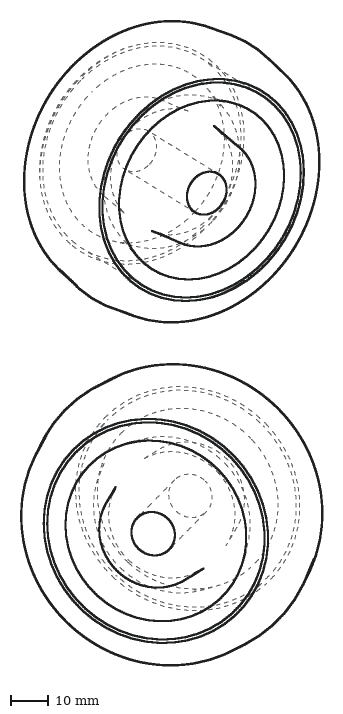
import cadquery as cq


tire_seat_radius = 30.0
rim_half_width = 17.0

crown_radius = 40.0
shoulder_x = 12.0
shoulder_radius = 38.6
flank_foot_x = 14.1
flank_foot_radius = 32.4
tire_edge_radius = 31.0
tire_fillet = 1.7

hub_half_width = 20.0
hub_end_radius = 15.0
hub_root_radius = 16.5
hub_edge_fillet = 1.0
bore_radius = 6.0
web_half_thickness = 3.0
pocket_mouth_radius = 25.0
pocket_root_radius = 22.5
pocket_fillet = 1.2


def revolve_mirrored(half_outline):
    """Revolve an (x, radius) outline, completed by its mirror image, about the X axis."""
    mirror_half = [(-x, radius) for x, radius in reversed(half_outline) if x > 0]
    outline = half_outline + mirror_half
    return cq.Workplane("XY").polyline(outline).close().revolve(360, (0, 0, 0), (1, 0, 0))


def fillet_rings(body, corners, fillet_radius):
    """Round the circular edges at the given (x, radius) corners on both sides of the body."""
    tolerance = 0.01
    rings = [
        edge
        for edge in body.edges("%CIRCLE").vals()
        for x, radius in corners
        if abs(abs(edge.Center().x) - x) < tolerance and abs(edge.radius() - radius) < tolerance
    ]
    return body.newObject(rings).fillet(fillet_radius)


def make_tire():
    """Crowned tread with sloping flanks, narrowing to a conical edge beside the rim."""
    shoulder = (shoulder_x, shoulder_radius)
    flank_foot = (flank_foot_x, flank_foot_radius)
    tire = revolve_mirrored([
        (0, crown_radius),
        shoulder,
        flank_foot,
        (rim_half_width, tire_edge_radius),
        (rim_half_width, tire_seat_radius),
    ])
    return fillet_rings(tire, [shoulder, flank_foot], tire_fillet)


def make_hub():
    """Rim and tapered boss joined by a central web, with a through bore."""
    boss_edge = (hub_half_width, hub_end_radius)
    boss_root = (web_half_thickness, hub_root_radius)
    pocket_root = (web_half_thickness, pocket_root_radius)
    hub = revolve_mirrored([
        (rim_half_width, tire_seat_radius),
        (rim_half_width, pocket_mouth_radius),
        pocket_root,
        boss_root,
        boss_edge,
        (hub_half_width, bore_radius),
    ])
    hub = fillet_rings(hub, [pocket_root, boss_root], pocket_fillet)
    return fillet_rings(hub, [boss_edge], hub_edge_fillet)


tire = make_tire()
hub = make_hub()

result = cq.Compound.makeCompound([tire.val(), hub.val()])